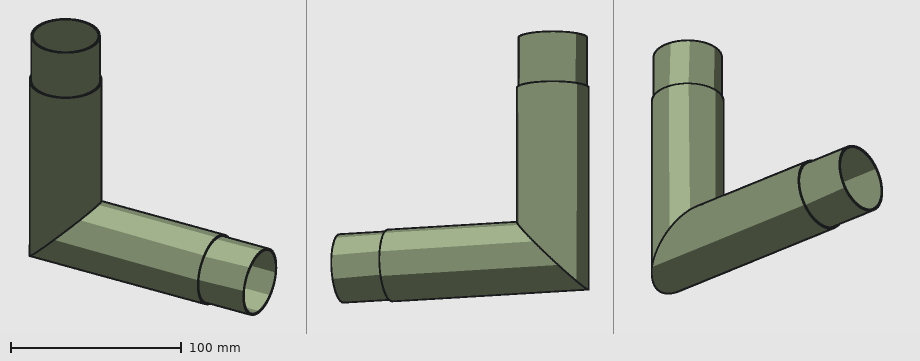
import cadquery as cq

overall_length = 151.2
tube_diameter = 42.3
spigot_diameter = 40.4
bore_diameter = 38.4
spigot_length = 30.0

corner = -overall_length / 2
far_end = corner + overall_length
tube_radius = tube_diameter / 2
axis_offset = corner + tube_radius
tube_length = overall_length - spigot_length


def leg_cylinder(diameter, length):
    """Upright cylinder on the leg axis, starting at the outer corner."""
    return (
        cq.Workplane("XY", origin=(axis_offset, 0, corner))
        .circle(diameter / 2)
        .extrude(length)
    )


def mitre_wedge():
    """Everything above the 45 degree mitre plane that rises from the outer corner."""
    return (
        cq.Workplane("XZ")
        .moveTo(corner, corner)
        .lineTo(far_end, far_end)
        .lineTo(corner, far_end)
        .close()
        .extrude(tube_diameter, both=True)
    )


def make_leg():
    """Upright hollow tube with a reduced spigot at the top and a mitred foot."""
    tube = leg_cylinder(tube_diameter, tube_length)
    spigot = leg_cylinder(spigot_diameter, overall_length)
    bore = leg_cylinder(bore_diameter, overall_length)
    return tube.union(spigot).cut(bore).intersect(mitre_wedge())


def mirror_across_mitre(leg):
    """Mirror a leg across the mitre plane X = Z, turning it from +Z to +X."""
    mitre_normal = cq.Vector(1, 0, -1)
    return cq.Workplane(leg.val().mirror(mitre_normal, cq.Vector(0, 0, 0)))


upright_leg = make_leg()
horizontal_leg = mirror_across_mitre(upright_leg)

result = cq.Compound.makeCompound([upright_leg.val().Solids()[0], horizontal_leg.val().Solids()[0]])